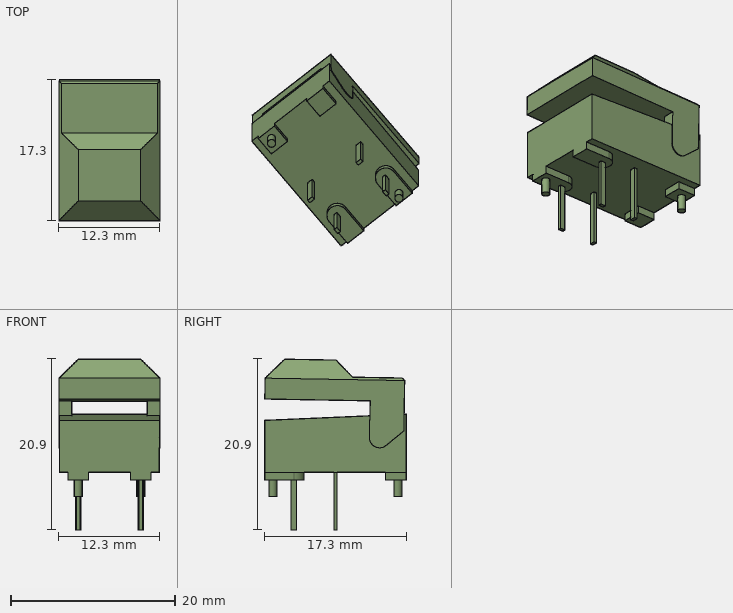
import cadquery as cq
import math

PITCH = 2.54

BODY_WIDTH = 12.192
BODY_LENGTH = 17.272
BODY_BACK_HEIGHT = 7.09
BODY_FRONT_HEIGHT = 6.34

ROW_X = 1.5 * PITCH
FOOT_WIDTH = PITCH
FOOT_HEIGHT = 0.97
FRONT_LEAD_Y = -2 * PITCH
REAR_LEAD_Y = 0
PEG_Y = 3 * PITCH
PEG_DIAMETER = 0.99
PEG_BOTTOM = -2.98
LEAD_WIDTH = 0.71
LEAD_THICKNESS = 0.41
LEAD_BOTTOM = -7.065

CAP_WIDTH = 12.34
CAP_TILT = 1.0
PIVOT_Y = 5.38
PIVOT_Z = 4.22
PIVOT_RADIUS = 1.24
CAP_BACK = 2.95
CAP_FRONT = -14.095
CAP_UNDERSIDE = 4.45
CAP_THICKNESS = 2.56
CAP_SHOULDER = CAP_UNDERSIDE + CAP_THICKNESS
ARM_BACK_END = 0.88
ARM_THICKNESS = 1.58
BUTTON_RISE = 2.365
REAR_RISE = 0.32
REAR_DECK_FRONT = -3.43


def extrude_across(outline, width):
    """Extrude a closed YZ outline to the given X width, centred on X = 0."""
    return outline.extrude(width / 2, both=True)


def box_below(x, y, size_x, size_y, top, bottom):
    """Upright box centred at (x, y) between two heights."""
    base = cq.Workplane("XY", origin=(x, y, bottom))
    return base.rect(size_x, size_y).extrude(top - bottom)


def make_cap():
    corner_distance = math.hypot(CAP_BACK, ARM_BACK_END)
    corner_angle = math.atan2(ARM_BACK_END, CAP_BACK)
    tangent_angle = corner_angle - math.acos(PIVOT_RADIUS / corner_distance)
    middle_angle = (tangent_angle - math.pi) / 2

    def on_round_end(angle):
        return (PIVOT_RADIUS * math.cos(angle), PIVOT_RADIUS * math.sin(angle))

    deck_height = CAP_SHOULDER + REAR_RISE
    button_height = CAP_SHOULDER + BUTTON_RISE
    slope_length = button_height - deck_height
    side = (
        cq.Workplane("YZ")
        .moveTo(CAP_BACK, CAP_SHOULDER)
        .lineTo(CAP_BACK - REAR_RISE, deck_height)
        .lineTo(REAR_DECK_FRONT, deck_height)
        .lineTo(REAR_DECK_FRONT - slope_length, button_height)
        .lineTo(CAP_FRONT + BUTTON_RISE, button_height)
        .lineTo(CAP_FRONT, CAP_SHOULDER)
        .lineTo(CAP_FRONT, CAP_UNDERSIDE)
        .lineTo(-PIVOT_RADIUS, CAP_UNDERSIDE)
        .lineTo(-PIVOT_RADIUS, 0)
        .threePointArc(on_round_end(middle_angle), on_round_end(tangent_angle))
        .lineTo(CAP_BACK, ARM_BACK_END)
        .close()
    )
    cap = extrude_across(side, CAP_WIDTH)

    gap_width = CAP_WIDTH - 2 * ARM_THICKNESS
    gap_length = 4 * CAP_BACK
    gap_bottom = -2 * PIVOT_RADIUS
    cap = cap.cut(box_below(0, 0, gap_width, gap_length, CAP_UNDERSIDE, gap_bottom))

    half_width = CAP_WIDTH / 2
    end_outline = cq.Workplane("XZ").polyline([
        (-half_width, -PIVOT_RADIUS),
        (half_width, -PIVOT_RADIUS),
        (half_width, CAP_SHOULDER),
        (half_width - BUTTON_RISE, button_height),
        (BUTTON_RISE - half_width, button_height),
        (-half_width, CAP_SHOULDER),
    ]).close()
    cap = cap.intersect(end_outline.extrude(-2 * CAP_FRONT, both=True))

    tipped = cap.rotate((0, 0, 0), (1, 0, 0), -CAP_TILT)
    return tipped.translate((0, PIVOT_Y, PIVOT_Z))


def make_block():
    half_length = BODY_LENGTH / 2
    side = cq.Workplane("YZ").polyline([
        (-half_length, 0),
        (half_length, 0),
        (half_length, BODY_BACK_HEIGHT),
        (-half_length, BODY_FRONT_HEIGHT),
    ]).close()
    return extrude_across(side, BODY_WIDTH)


def make_front_foot(x):
    """Foot from the front face to the front lead, with a half-round end around the lead."""
    front = -BODY_LENGTH / 2
    length = FRONT_LEAD_Y - front
    straight = box_below(x, front + length / 2, FOOT_WIDTH, length, 0, -FOOT_HEIGHT)
    round_end = (
        cq.Workplane("XY", origin=(x, FRONT_LEAD_Y, -FOOT_HEIGHT))
        .circle(FOOT_WIDTH / 2)
        .extrude(FOOT_HEIGHT)
    )
    return straight.union(round_end)


def make_back_foot(x):
    """Square foot flush with the back face."""
    center = (BODY_LENGTH - FOOT_WIDTH) / 2
    return box_below(x, center, FOOT_WIDTH, FOOT_WIDTH, 0, -FOOT_HEIGHT)


def make_peg(x, y):
    base = cq.Workplane("XY", origin=(x, y, PEG_BOTTOM))
    return base.circle(PEG_DIAMETER / 2).extrude(-FOOT_HEIGHT - PEG_BOTTOM)


def make_body(cap):
    body = make_block()
    for x in (-ROW_X, ROW_X):
        body = body.union(make_front_foot(x)).union(make_back_foot(x))
        front_lead = box_below(x, FRONT_LEAD_Y, LEAD_THICKNESS, LEAD_WIDTH, -FOOT_HEIGHT, LEAD_BOTTOM)
        rear_lead = box_below(x, REAR_LEAD_Y, LEAD_WIDTH, LEAD_THICKNESS, 0, LEAD_BOTTOM)
        body = body.union(front_lead).union(rear_lead)
    for side in (-1, 1):
        body = body.union(make_peg(side * ROW_X, side * PEG_Y))
    return body.cut(cap)


cap = make_cap()
body = make_body(cap)
result = cq.Compound.makeCompound([body.solids().val(), cap.solids().val()])